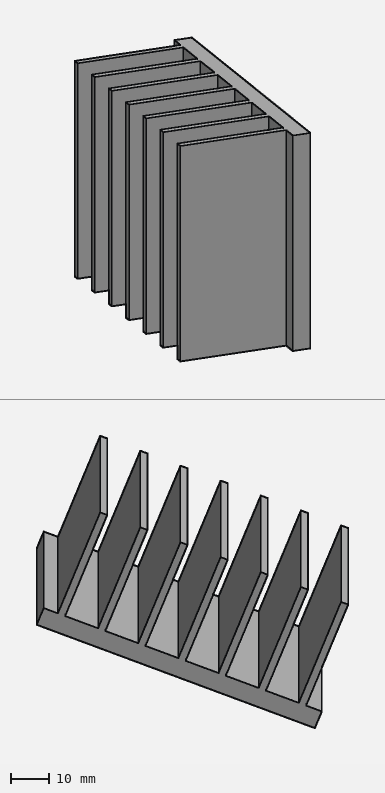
import cadquery as cq

width = 78.0
height = 60.0
depth = 35.0
base_thickness = 5.0

fin_count = 7
fin_thickness = 2.0
first_fin_offset = 4.0
last_fin_margin = 4.45
fin_pitch = (width - first_fin_offset - last_fin_margin - fin_thickness) / (fin_count - 1)
fin_length = depth - base_thickness


def box_from_corner(size_x, size_y, corner_x, corner_y):
    """Full-height block whose lowest X, Y corner is at the given place."""
    block = cq.Workplane("XY").box(size_x, size_y, height, centered=False)
    return block.translate((corner_x, corner_y, 0))


result = box_from_corner(width, base_thickness, 0, fin_length)
for index in range(fin_count):
    fin_x = first_fin_offset + index * fin_pitch
    result = result.union(box_from_corner(fin_thickness, fin_length, fin_x, 0))